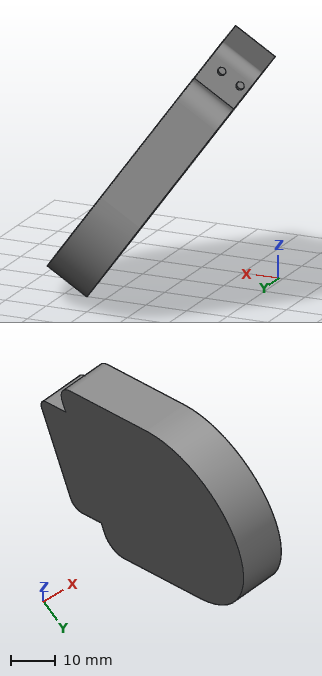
import cadquery as cq

thickness = 11.3
body_width = 47.5
straight_length = 33.0
shoulder_radius = 5.0
tab_width = 31.5
tab_length = 10.0
tab_radius = 3.0

hole_diameter = 1.85
hole_depth = 2.0
hole_heights = (2.05, 7.3)

roll = 12.5
tilt = 54.2
azimuth = 10.7


def make_body():
    """Body with two rounded shoulders and a semicircular far end."""
    half_width = body_width / 2
    return (
        cq.Workplane("XY")
        .moveTo(0, half_width)
        .lineTo(straight_length, half_width)
        .threePointArc((straight_length + half_width, 0), (straight_length, -half_width))
        .lineTo(0, -half_width)
        .close()
        .extrude(thickness)
        .edges("|Z and <X")
        .fillet(shoulder_radius)
    )


def make_tab():
    """Tab with rounded outer corners, reaching into the body so the two join."""
    overlap = shoulder_radius
    return (
        cq.Workplane("XY")
        .box(tab_length + overlap, tab_width, thickness, centered=(False, True, False))
        .translate((-tab_length, 0, 0))
        .edges("|Z and <X")
        .fillet(tab_radius)
    )


def make_side_holes():
    """Hole cutters entering the +Y side of the tab, midway along its length."""
    centers = [(-tab_length / 2, height) for height in hole_heights]
    return (
        cq.Workplane("XZ", origin=(0, tab_width / 2, 0))
        .pushPoints(centers)
        .circle(hole_diameter / 2)
        .extrude(hole_depth)
    )


plate = make_body().union(make_tab()).cut(make_side_holes())

result = (
    plate.rotate((0, 0, 0), (0, 0, 1), roll)
    .rotate((0, 0, 0), (0, 1, 0), tilt)
    .rotate((0, 0, 0), (0, 0, 1), azimuth)
)